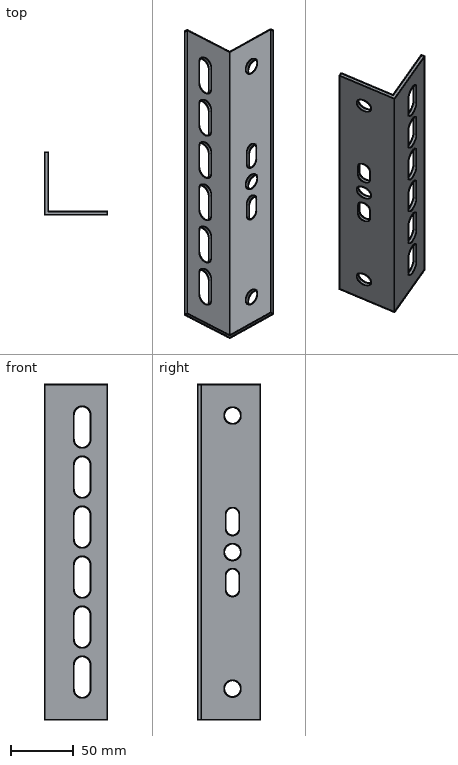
import cadquery as cq

length = 268.0
leg = 50.0
thickness = 3.0

long_slot_count = 6
long_slot_pitch = 40.0
long_slot_length = 33.0
long_slot_width = 13.0
long_slot_x = 30.0

hole_diameter = 13.0
hole_pitch = 109.0
short_slot_length = 22.0
short_slot_width = 10.7
short_slot_offset = 24.5
side_row_y = 28.0

cut_depth = 2 * thickness


def angle_section():
    """L-shaped bar with its outer corner on the Z axis."""
    outline = [
        (0, 0),
        (leg, 0),
        (leg, thickness),
        (thickness, thickness),
        (thickness, leg),
        (0, leg),
    ]
    return cq.Workplane("XY").workplane(offset=-length / 2).polyline(outline).close().extrude(length)


def long_slots():
    """Evenly spaced vertical slots through the X leg."""
    middle = (long_slot_count - 1) / 2
    centres = [(long_slot_x, (i - middle) * long_slot_pitch) for i in range(long_slot_count)]
    return (
        cq.Workplane("XZ")
        .pushPoints(centres)
        .slot2D(long_slot_length, long_slot_width, 90)
        .extrude(cut_depth, both=True)
    )


def side_holes():
    """Three round holes through the Y leg: one central and one near each end."""
    centres = [(side_row_y, i * hole_pitch) for i in (-1, 0, 1)]
    return (
        cq.Workplane("YZ")
        .pushPoints(centres)
        .circle(hole_diameter / 2)
        .extrude(cut_depth, both=True)
    )


def short_slots():
    """Two vertical slots through the Y leg, either side of the central hole."""
    centres = [(side_row_y, side * short_slot_offset) for side in (-1, 1)]
    return (
        cq.Workplane("YZ")
        .pushPoints(centres)
        .slot2D(short_slot_length, short_slot_width, 90)
        .extrude(cut_depth, both=True)
    )


result = angle_section().cut(long_slots()).cut(side_holes()).cut(short_slots())